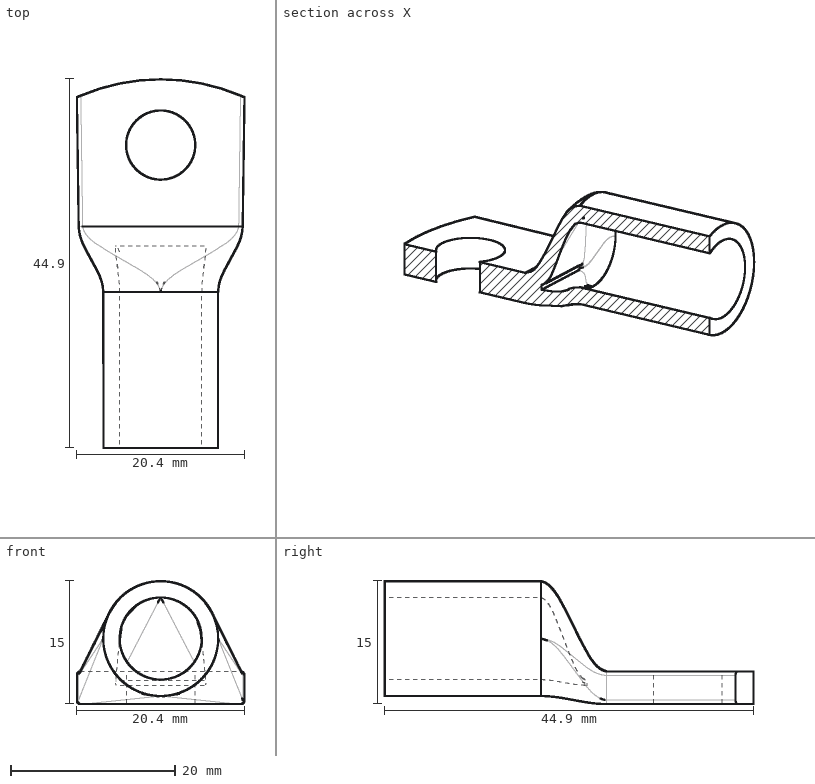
import cadquery as cq
import math

TUBE_DIAMETER = 14.0
BORE_DIAMETER = 10.0
TUBE_LENGTH = 19.0
TOTAL_HEIGHT = 15.0
TUBE_AXIS_Z = TOTAL_HEIGHT - TUBE_DIAMETER / 2

PALM_THICKNESS = 4.0
PALM_ROOT_WIDTH = 20.0
PALM_END_WIDTH = 20.44
PALM_EDGE_RADIUS = 0.5
TOTAL_LENGTH = 44.92
PALM_END_CROWN = 2.2

HOLE_DIAMETER = 8.4
HOLE_Y = 36.9

TRANSITION_LENGTH = 8.0
TRANSITION_STEPS = 6
PALM_START_Y = TUBE_LENGTH + TRANSITION_LENGTH
ROUND_SIDE_FLAT = 0.02

CAVITY_END_FRACTION = 0.7
CAVITY_END_WIDTH = 11.0
CAVITY_END_HEIGHT = 0.6
CAVITY_END_RADIUS = 0.25
CAVITY_END_Z = 2.6


def rounded_section(y, width, height, radius, center_z):
    """Rounded rectangle wire in the XZ plane at the given Y."""
    half_w = width / 2
    half_h = height / 2
    flat_x = half_w - radius
    flat_z = half_h - radius
    bulge = radius * math.sqrt(0.5)
    plane = cq.Plane(origin=(0, y, center_z), xDir=(1, 0, 0), normal=(0, -1, 0))
    return (
        cq.Workplane(plane)
        .moveTo(-flat_x, -half_h)
        .lineTo(flat_x, -half_h)
        .threePointArc((flat_x + bulge, -flat_z - bulge), (half_w, -flat_z))
        .lineTo(half_w, flat_z)
        .threePointArc((flat_x + bulge, flat_z + bulge), (flat_x, half_h))
        .lineTo(-flat_x, half_h)
        .threePointArc((-flat_x - bulge, flat_z + bulge), (-half_w, flat_z))
        .lineTo(-half_w, -flat_z)
        .threePointArc((-flat_x - bulge, -flat_z - bulge), (-flat_x, -half_h))
        .close()
        .val()
    )


def blended_loft(start_y, length, start_size, end_size):
    """Loft between two (width, height, radius, center_z) sections, level at both ends."""
    wires = []
    for step in range(TRANSITION_STEPS + 1):
        t = step / TRANSITION_STEPS
        blend = t * t * (3 - 2 * t)
        size = [a + (b - a) * blend for a, b in zip(start_size, end_size)]
        wires.append(rounded_section(start_y + length * t, *size))
    return cq.Workplane(cq.Solid.makeLoft(wires))


def round_size(diameter):
    """Section size of a circle on the tube axis."""
    return (diameter, diameter, (diameter - ROUND_SIDE_FLAT) / 2, TUBE_AXIS_Z)


def y_cylinder(diameter, length):
    """Cylinder on the tube axis, starting at Y = 0."""
    plane = cq.Plane(origin=(0, 0, TUBE_AXIS_Z), xDir=(1, 0, 0), normal=(0, 1, 0))
    return cq.Workplane(plane).circle(diameter / 2).extrude(length)


def make_palm():
    """Tapered flat with a crowned end, rounded long edges and a bolt hole."""
    root = PALM_ROOT_WIDTH / 2
    end = PALM_END_WIDTH / 2
    corner_y = TOTAL_LENGTH - PALM_END_CROWN
    palm = (
        cq.Workplane("XY")
        .moveTo(-root, PALM_START_Y)
        .lineTo(root, PALM_START_Y)
        .lineTo(end, corner_y)
        .threePointArc((0, TOTAL_LENGTH), (-end, corner_y))
        .close()
        .extrude(PALM_THICKNESS)
    )
    side_faces = palm.faces("#Z").faces("<X or >X")
    long_edges = side_faces.edges("#Z")
    palm = long_edges.fillet(PALM_EDGE_RADIUS)
    hole = cq.Workplane("XY").center(0, HOLE_Y).circle(HOLE_DIAMETER / 2).extrude(PALM_THICKNESS)
    return palm.cut(hole)


def make_transition():
    """Solid neck from the round tube to the flat palm."""
    palm_size = (PALM_ROOT_WIDTH, PALM_THICKNESS, PALM_EDGE_RADIUS, PALM_THICKNESS / 2)
    return blended_loft(TUBE_LENGTH, TRANSITION_LENGTH, round_size(TUBE_DIAMETER), palm_size)


def make_cavity():
    """Straight bore followed by a pocket that flattens to a slit inside the neck."""
    slit_size = (CAVITY_END_WIDTH, CAVITY_END_HEIGHT, CAVITY_END_RADIUS, CAVITY_END_Z)
    depth = TRANSITION_LENGTH * CAVITY_END_FRACTION
    pocket = blended_loft(TUBE_LENGTH, depth, round_size(BORE_DIAMETER), slit_size)
    return y_cylinder(BORE_DIAMETER, TUBE_LENGTH).union(pocket)


body = y_cylinder(TUBE_DIAMETER, TUBE_LENGTH).union(make_transition()).union(make_palm())
result = body.cut(make_cavity())